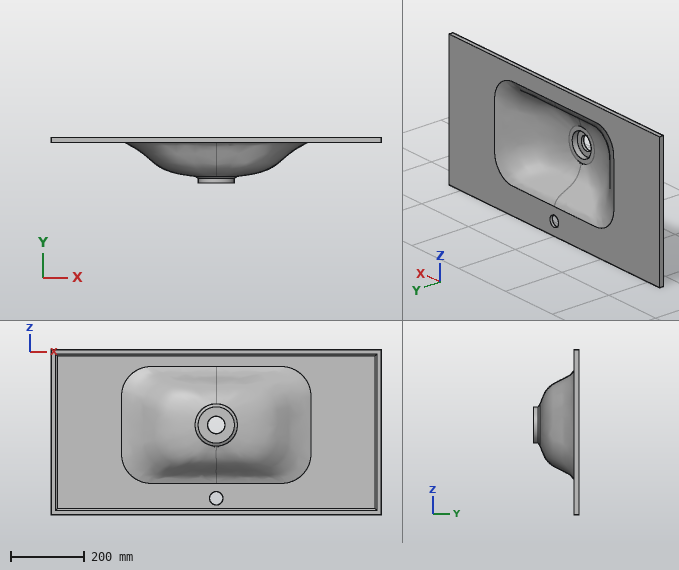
import cadquery as cq
import math

LENGTH = 900.0
HEIGHT = 450.0
SLAB_THICKNESS = 14.0
TOTAL_DEPTH = 124.0

RIM_WIDTH = 12.0
RECESS_DEPTH = 5.0
RECESS_SLOPE_WIDTH = 5.0
RECESS_FLOOR = SLAB_THICKNESS - RECESS_DEPTH

BOWL_Z = 20.0
BOWL_DEPTH = 106.0
DRAIN_FLARE_RADIUS = 58.0
BOWL_SECTIONS = [
    (RECESS_FLOOR, 258.0, 159.0, 81.0),
    (30.0, 219.0, 132.0, 83.0),
    (52.0, 190.0, 121.5, 85.0),
    (72.0, 166.5, 111.0, 85.0),
    (90.0, 135.0, 94.0, 81.0),
    (101.0, 95.0, 71.0, 66.0),
    (BOWL_DEPTH, DRAIN_FLARE_RADIUS, DRAIN_FLARE_RADIUS, 56.0),
]
WALL_DEPTH = RECESS_FLOOR
WALL_INSET = 4.0
SPLINE_SPANS = 24

DRAIN_RADIUS = 49.5
DRAIN_NECK_DEPTH = 112.0
DRAIN_HOLE_RADIUS = 23.0
DRAIN_SEAT_RADIUS = 40.5
DRAIN_FLOOR_THICKNESS = 9.0
TAP_HOLE_RADIUS = 18.0
TAP_HOLE_Z = -180.0


def at_depth(depth):
    """Workplane parallel to the slab, facing -Y, at a depth below the open face."""
    return cq.Workplane("XZ", origin=(0, -depth, 0))


def rounded_section(depth, half_width, half_height, radius):
    """Rounded rectangle on the bowl axis, as two splines meeting at top and bottom centre."""
    flat_x = half_width - radius
    flat_z = half_height - radius
    diagonal = radius * math.sqrt(0.5)
    right_half = (
        at_depth(depth)
        .center(0, BOWL_Z)
        .moveTo(0, half_height)
        .lineTo(flat_x, half_height)
        .threePointArc((flat_x + diagonal, flat_z + diagonal), (half_width, flat_z))
        .lineTo(half_width, -flat_z)
        .threePointArc((flat_x + diagonal, -flat_z - diagonal), (flat_x, -half_height))
        .lineTo(0, -half_height)
        .wire()
        .val()
    )
    points = right_half.positions([i / SPLINE_SPANS for i in range(SPLINE_SPANS + 1)])
    toward_right = cq.Vector(1, 0, 0)
    right_edge = cq.Edge.makeSpline(points, tangents=[toward_right, -toward_right])
    return cq.Wire.assembleEdges([right_edge, right_edge.mirror("YZ")])


def bowl_solid(depth_shift, inset):
    """Smooth solid through the bowl sections, raised and shrunk as asked."""
    wires = [
        rounded_section(depth - depth_shift, width - inset, height - inset, radius - inset)
        for depth, width, height, radius in BOWL_SECTIONS
    ]
    return cq.Workplane(obj=cq.Solid.makeLoft(wires))


def slab():
    plate = at_depth(0).rect(LENGTH, HEIGHT).extrude(SLAB_THICKNESS)
    floor_inset = 2 * (RIM_WIDTH + RECESS_SLOPE_WIDTH)
    recess = (
        at_depth(RECESS_FLOOR)
        .rect(LENGTH - floor_inset, HEIGHT - floor_inset)
        .workplane(offset=RECESS_DEPTH)
        .rect(LENGTH - 2 * RIM_WIDTH, HEIGHT - 2 * RIM_WIDTH)
        .loft(ruled=True)
    )
    return plate.cut(recess)


def drain():
    """Short spigot with a conical flare where it leaves the bowl."""
    flare = (
        at_depth(BOWL_DEPTH)
        .center(0, BOWL_Z)
        .circle(DRAIN_FLARE_RADIUS)
        .workplane(offset=DRAIN_NECK_DEPTH - BOWL_DEPTH)
        .circle(DRAIN_RADIUS)
        .loft()
    )
    spigot = (
        at_depth(BOWL_DEPTH)
        .center(0, BOWL_Z)
        .circle(DRAIN_RADIUS)
        .extrude(TOTAL_DEPTH - BOWL_DEPTH)
    )
    return spigot.union(flare)


def round_hole(z, radius, depth):
    """Cylinder sunk from the open face of the slab."""
    return at_depth(0).center(0, z).circle(radius).extrude(depth)


result = slab().union(bowl_solid(0, 0)).union(drain())
result = result.cut(bowl_solid(WALL_DEPTH, WALL_INSET))
result = result.cut(round_hole(BOWL_Z, DRAIN_SEAT_RADIUS, TOTAL_DEPTH - DRAIN_FLOOR_THICKNESS))
result = result.cut(round_hole(BOWL_Z, DRAIN_HOLE_RADIUS, TOTAL_DEPTH))
result = result.cut(round_hole(TAP_HOLE_Z, TAP_HOLE_RADIUS, SLAB_THICKNESS))